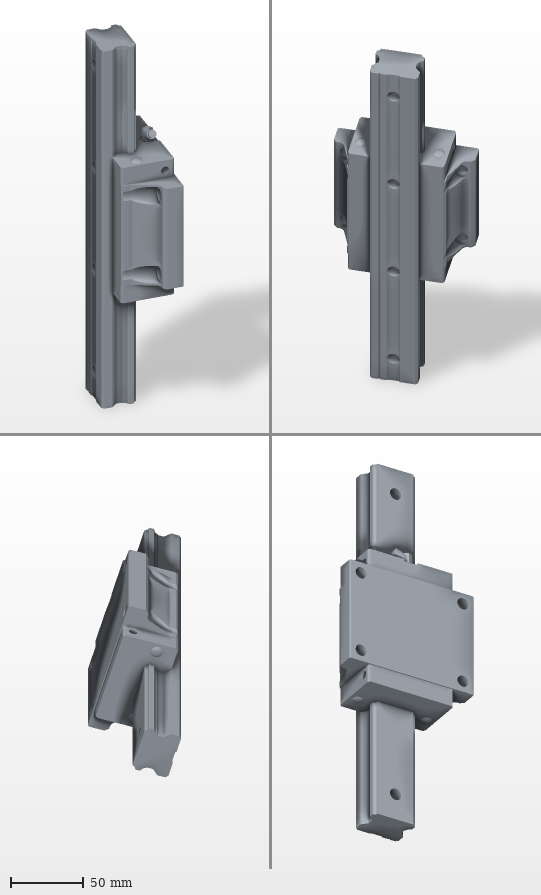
import cadquery as cq
import math


RAIL_LENGTH = 280.0
RAIL_HEIGHT = 26.0
RAIL_HALF_WIDTH = 17.0
RAIL_TOP_HALF_WIDTH = 14.5
RAIL_WAIST_HALF_WIDTH = 13.2
RAIL_FOOT_CHAMFER = 1.7
FOOT_HEIGHT = 7.5
WAIST_LOW = 11.8
WAIST_HIGH = 16.0
SIDE_LOW = 20.2
SIDE_HIGH = 23.5
TRACK_INSET = 0.8
UPPER_TRACK_SAG = 0.7
LOWER_TRACK_SAG = 0.5
RAIL_HOLE_DIAMETER = 9.0
RAIL_HOLE_PITCH = 80.0
RAIL_HOLE_COUNT = 4
BASE_GROOVE_WIDTH = 9.5
GROOVE_DEPTH = 0.8
GROOVE_SLANT = 0.8
MARK_GROOVE_X = -10.0
MARK_GROOVE_WIDTH = 2.0

CARRIAGE_CENTER_Z = 2.8
BLOCK_LENGTH = 78.7
BLOCK_TOP = 48.0
BLOCK_BOTTOM = FOOT_HEIGHT
FLANGE_WIDTH = 100.0
FLANGE_HALF_WIDTH = FLANGE_WIDTH / 2
FLANGE_BOTTOM = 33.0
FLANGE_TOP_CHAMFER = 0.8
FLANGE_BOTTOM_CHAMFER = 2.5
LEG_HALF_WIDTH = 35.0
LEG_SHOULDER = 14.5
SLOPE_TOP_HALF_WIDTH = 42.8
FLANGE_FILLET = 4.5
LEG_CHAMFER = 1.7
BOLT_SPACING_X = 82.0
BOLT_SPACING_Z = 62.0
BOLT_HOLE_DIAMETER = 8.7
SPOTFACE_DIAMETER = 14.0

CAP_LENGTH = 11.0
SEAL_LENGTH = 2.8
CAP_TOP = 47.0
CAP_HALF_WIDTH = 34.2
CAP_CHAMFER_X = 1.0
CAP_CHAMFER_Y = 1.7
PORT_DIAMETER = 6.2
PORT_DEPTH = 5.5
PORT_Y = 40.0
PORT_OFFSET_Z = 45.0
SCREW_X = 27.7
SCREW_Y = 21.3
SCREW_DIAMETER = 8.0
SCREW_HEIGHT = 1.0
SCREW_FLAT_DIAMETER = 2.5
SCREW_DOME_SAG = 0.3
NOTCH_WIDTH = 11.0
NOTCH_DEPTH = 1.7

POST_DIAMETER = 8.0
POST_HEIGHT = 9.5
HEAD_ELEVATION = 30.0
HEAD_BASE_HEIGHT = 4.5
HEAD_DIAMETER = 6.7
HEAD_LENGTH = 9.0
TIP_DIAMETER = 5.5
TIP_LENGTH = 2.8

BLOCK_END = BLOCK_LENGTH / 2
CAP_END = BLOCK_END + CAP_LENGTH
SEAL_END = CAP_END + SEAL_LENGTH


def rail_profile():
    """Rail section with an upper and a lower ball track on each flank."""
    half = (
        cq.Workplane("XY")
        .lineTo(RAIL_HALF_WIDTH - RAIL_FOOT_CHAMFER, 0)
        .lineTo(RAIL_HALF_WIDTH, RAIL_FOOT_CHAMFER)
        .lineTo(RAIL_HALF_WIDTH, FOOT_HEIGHT)
        .lineTo(RAIL_WAIST_HALF_WIDTH, WAIST_LOW)
        .lineTo(RAIL_WAIST_HALF_WIDTH, WAIST_HIGH)
        .lineTo(RAIL_WAIST_HALF_WIDTH + TRACK_INSET, WAIST_HIGH + TRACK_INSET)
        .sagittaArc((RAIL_HALF_WIDTH - TRACK_INSET, SIDE_LOW - TRACK_INSET), LOWER_TRACK_SAG)
        .lineTo(RAIL_HALF_WIDTH, SIDE_LOW)
        .lineTo(RAIL_HALF_WIDTH, SIDE_HIGH)
        .sagittaArc((RAIL_TOP_HALF_WIDTH, RAIL_HEIGHT), UPPER_TRACK_SAG)
        .lineTo(0, RAIL_HEIGHT)
    )
    return half.mirrorY()


def rail_blank():
    return rail_profile().extrude(RAIL_LENGTH / 2, both=True)


def base_groove(center_x, width):
    """Groove with slanted walls along the mounting face."""
    half_mouth = width / 2
    half_floor = half_mouth - GROOVE_SLANT
    return (
        cq.Workplane("XY", origin=(center_x, 0, 0))
        .moveTo(-half_mouth, 0)
        .lineTo(-half_floor, GROOVE_DEPTH)
        .lineTo(half_floor, GROOVE_DEPTH)
        .lineTo(half_mouth, 0)
        .close()
        .extrude(RAIL_LENGTH / 2, both=True)
    )


def make_rail():
    rail = rail_blank()
    for groove_x, width in ((0, BASE_GROOVE_WIDTH), (MARK_GROOVE_X, MARK_GROOVE_WIDTH)):
        rail = rail.cut(base_groove(groove_x, width))
    holes = (
        cq.Workplane("XZ")
        .rarray(2.8, RAIL_HOLE_PITCH, 1, RAIL_HOLE_COUNT)
        .circle(RAIL_HOLE_DIAMETER / 2)
        .extrude(-RAIL_HEIGHT)
    )
    return rail.cut(holes)


def block_profile():
    return (
        cq.Workplane("XY")
        .moveTo(0, BLOCK_BOTTOM)
        .lineTo(LEG_HALF_WIDTH - LEG_CHAMFER, BLOCK_BOTTOM)
        .lineTo(LEG_HALF_WIDTH, BLOCK_BOTTOM + LEG_CHAMFER)
        .lineTo(LEG_HALF_WIDTH, LEG_SHOULDER)
        .lineTo(SLOPE_TOP_HALF_WIDTH, FLANGE_BOTTOM)
        .lineTo(FLANGE_HALF_WIDTH - FLANGE_BOTTOM_CHAMFER, FLANGE_BOTTOM)
        .lineTo(FLANGE_HALF_WIDTH, FLANGE_BOTTOM + FLANGE_BOTTOM_CHAMFER)
        .lineTo(FLANGE_HALF_WIDTH, BLOCK_TOP - FLANGE_TOP_CHAMFER)
        .lineTo(FLANGE_HALF_WIDTH - FLANGE_TOP_CHAMFER, BLOCK_TOP)
        .lineTo(0, BLOCK_TOP)
        .mirrorY()
    )


def make_block():
    block = block_profile().extrude(BLOCK_END, both=True)
    for side in (-1, 1):
        corner = (side * SLOPE_TOP_HALF_WIDTH, FLANGE_BOTTOM, 0)
        block = block.edges(cq.NearestToPointSelector(corner)).fillet(FLANGE_FILLET)
    bolts = cq.Workplane("XZ").rarray(BOLT_SPACING_X, BOLT_SPACING_Z, 2, 2)
    block = block.cut(bolts.circle(BOLT_HOLE_DIAMETER / 2).extrude(-BLOCK_TOP))
    block = block.cut(bolts.circle(SPOTFACE_DIAMETER / 2).extrude(-FLANGE_BOTTOM))
    return block.translate((0, 0, CARRIAGE_CENTER_Z)).cut(rail_blank())


def end_plate(start, length):
    """Chamfered end plate of the carriage, from `start` beyond the carriage centre."""
    inner_half_width = CAP_HALF_WIDTH - CAP_CHAMFER_X
    return (
        cq.Workplane("XY", origin=(0, 0, start))
        .moveTo(0, BLOCK_BOTTOM)
        .lineTo(inner_half_width, BLOCK_BOTTOM)
        .lineTo(CAP_HALF_WIDTH, BLOCK_BOTTOM + CAP_CHAMFER_Y)
        .lineTo(CAP_HALF_WIDTH, CAP_TOP - CAP_CHAMFER_Y)
        .lineTo(inner_half_width, CAP_TOP)
        .lineTo(0, CAP_TOP)
        .mirrorY()
        .extrude(length)
    )


def place_at_end(body, end):
    """Move a body built about the carriage centre to the upper (1) or lower (-1) end."""
    if end < 0:
        body = body.mirror("XY")
    return body.translate((0, 0, CARRIAGE_CENTER_Z)).cut(rail_blank())


def make_end_cap(end):
    cap = end_plate(BLOCK_END, CAP_LENGTH)
    for side in (-1, 1):
        port = (
            cq.Workplane("YZ", origin=(side * CAP_HALF_WIDTH, PORT_Y, PORT_OFFSET_Z))
            .circle(PORT_DIAMETER / 2)
            .extrude(-side * PORT_DEPTH)
        )
        cap = cap.cut(port)
    return place_at_end(cap, end)


def nipple_notch():
    """U-shaped recess in the outer face of a seal, open at the top."""
    floor = SEAL_END - NOTCH_DEPTH
    radius = NOTCH_WIDTH / 2
    return (
        cq.Workplane("XY", origin=(0, PORT_Y, floor))
        .moveTo(-radius, CAP_TOP - PORT_Y)
        .lineTo(-radius, 0)
        .threePointArc((0, -radius), (radius, 0))
        .lineTo(radius, CAP_TOP - PORT_Y)
        .close()
        .extrude(NOTCH_DEPTH)
    )


def screw_head():
    """Domed head with a small flat on top, standing on Z = 0."""
    return (
        cq.Workplane("XZ")
        .lineTo(SCREW_DIAMETER / 2, 0)
        .sagittaArc((SCREW_FLAT_DIAMETER / 2, SCREW_HEIGHT), -SCREW_DOME_SAG)
        .lineTo(0, SCREW_HEIGHT)
        .close()
        .revolve()
    )


def make_end_seal(end):
    seal = end_plate(CAP_END, SEAL_LENGTH)
    for side in (-1, 1):
        seal = seal.union(screw_head().translate((side * SCREW_X, SCREW_Y, SEAL_END)))
    if end > 0:
        seal = seal.cut(nipple_notch())
    return place_at_end(seal, end)


def make_nipple():
    """Hexagonal post with a slanted two-step head, standing in the notch of the upper seal."""
    base_z = CARRIAGE_CENTER_Z + SEAL_END - NOTCH_DEPTH
    post = (
        cq.Workplane("XY", origin=(0, PORT_Y, base_z))
        .transformed(rotate=(0, 0, 90))
        .polygon(6, POST_DIAMETER)
        .extrude(POST_HEIGHT)
    )
    angle = math.radians(HEAD_ELEVATION)
    axis = cq.Plane(
        origin=(0, PORT_Y, base_z + HEAD_BASE_HEIGHT),
        xDir=(0, 1, 0),
        normal=(math.cos(angle), 0, math.sin(angle)),
    )
    head = cq.Workplane(axis).circle(HEAD_DIAMETER / 2).extrude(HEAD_LENGTH)
    tip = cq.Workplane(axis).circle(TIP_DIAMETER / 2).extrude(HEAD_LENGTH + TIP_LENGTH)
    return post.union(head).union(tip)


rail = make_rail()
block = make_block()
end_caps = [make_end_cap(end) for end in (1, -1)]
end_seals = [make_end_seal(end) for end in (1, -1)]
nipple = make_nipple()

bodies = [rail, block, *end_caps, *end_seals, nipple]
result = cq.Compound.makeCompound([body.val() for body in bodies])